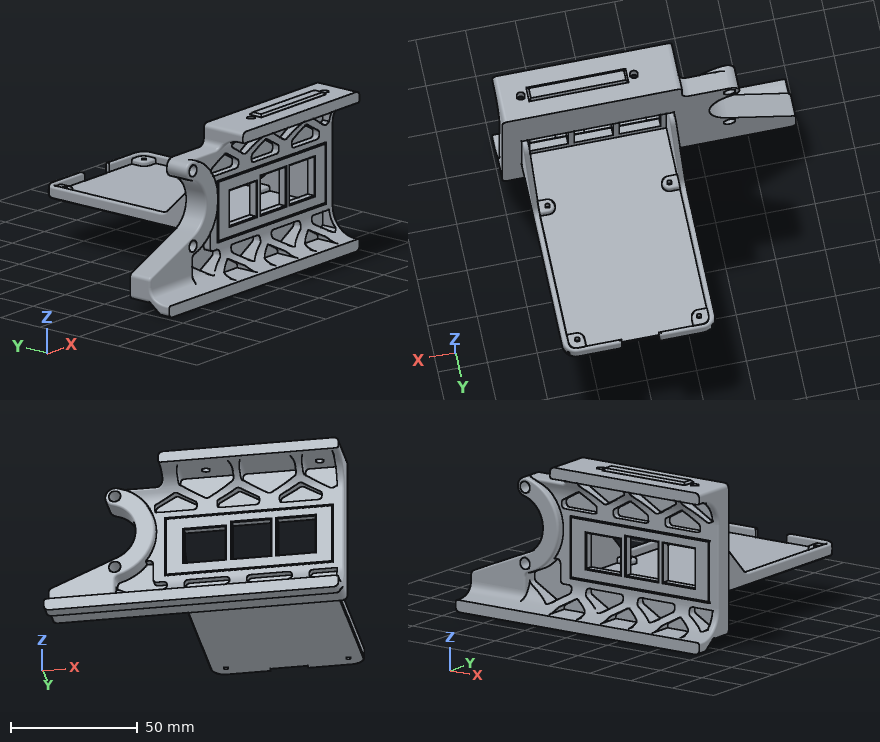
import cadquery as cq
import math

length = 118.0
depth = 20.0
top_z = 65.8
lip_z = 5.0
overhang_z = 61.1
scoop_radius = 11.0
face_y = 13.2
scoop_y = face_y - scoop_radius
lower_scoop_z = lip_z + scoop_radius
upper_scoop_z = overhang_z - scoop_radius
back_bottom_z = 3.9
lip_slope_front_y = 5.5
lip_slope_back_y = 10.7
end_radius = 2.0
front_radius = 1.0

ring_x = 22.8
ring_z = 37.1
bolt_circle_radius = 16.0
boss_radius = 4.0
ring_inner_radius = bolt_circle_radius - boss_radius
ring_outer_radius = bolt_circle_radius + boss_radius
bolt_hole_diameter = 4.7
bolt_offset_x = 3.85
bolt_x = ring_x + bolt_offset_x
bolt_rise = math.sqrt(bolt_circle_radius**2 - bolt_offset_x**2)
pad_y = 9.8
pad_foot_radius = 5.0
pad_right_x = 26.7
pad_corner_radius = 1.8
body_left_x = pad_right_x - 2 * front_radius
brace_angle = math.radians(23)

flange_left_x = 45.7
flange_fillet = 3.0
shoulder_z = ring_z + bolt_rise + boss_radius

key_x = 85.85
key_y = 10.2
key_length = 40.0
key_width = 6.0
key_height = 1.0
key_chamfer = 0.9
key_hole_spacing = 45.5
key_hole_diameter = 3.2

pocket_pitch = 25.0
pocket_count = 3
pocket_slope = math.tan(math.radians(30))
pocket_right_limit = 115.1
pocket_back_y = 16.4
foot_pocket_back_y = 12.4
pocket_corner_radius = 1.5
hanging_x = 63.0
standing_x = 50.5
upper_pocket_half_width = 11.1
upper_pocket_tip_z = 50.1
middle_pocket_half_width = 8.5
middle_pocket_base_z = 45.7
middle_pocket_tip_z = 53.8
lower_pocket_half_width = 9.0
lower_pocket_top_z = 15.0
lower_pocket_tip_z = 6.8
foot_pocket_half_width = 6.7
foot_pocket_base_z = 1.0
foot_pocket_tip_z = 10.5
ring_pocket_step_x = 41.4
ring_pocket_top_z = 24.7

tray_x = 79.6
tray_width = 61.4
tray_left_x = tray_x - tray_width / 2
tray_right_x = tray_x + tray_width / 2
tray_back_y = 104.55
tray_bottom_z = 18.2
rim_z = 23.2
floor_z = 19.7
side_wall = 2.5
back_wall = 2.2
tray_corner_radius = 5.5
rim_radius = 1.0
gusset_top_z = 42.6
gusset_foot_y = 43.0
gusset_radius = 5.0
notch_width = 15.0
notch_end_radius = 1.0
tray_chamfer = 0.4

board_hole_spacing_x = 49.0
board_hole_spacing_y = 58.0
board_hole_back_y = 98.5
board_hole_diameter = 1.8
post_diameter = 6.0
post_top_z = 21.8
post_edge_radius = 1.0

panel_x = 79.8
panel_width = 66.4
panel_thickness = 3.6
panel_back_y = face_y + panel_thickness
panel_gap = 0.5
panel_gap_depth = 0.6
panel_height = gusset_top_z - tray_bottom_z
panel_z = tray_bottom_z + panel_height / 2
window_bottom_z = 22.8
window_chamfer = 0.4
windows = [
    (62.0, 16.6, 14.5),
    (80.65, 15.6, 16.0),
    (98.6, 15.3, 16.0),
]

margin = 0.1


def block(x0, x1, y0, y1, z0, z1):
    return cq.Workplane("XY").box(x1 - x0, y1 - y0, z1 - z0, centered=False).translate((x0, y0, z0))


def extrude_back(sketch, y0, y1):
    """Extrude an XZ outline from y0 to y1."""
    return sketch.extrude(y0 - y1).translate((0, y0, 0))


def on_circle(radius, angle):
    """Point around the ring centre, the angle taken from +X."""
    return (ring_x + radius * math.cos(angle), ring_z + radius * math.sin(angle))


def scoop_point(centre_z, angle):
    """Point on a scoop in the YZ plane, the angle taken from +Y."""
    return (scoop_y + scoop_radius * math.cos(angle), centre_z + scoop_radius * math.sin(angle))


def underside():
    """Start of a shell profile: from the lip front along the underside and up the back."""
    return (
        cq.Workplane("YZ")
        .moveTo(0, lip_z)
        .lineTo(0, 0)
        .lineTo(lip_slope_front_y, 0)
        .lineTo(lip_slope_back_y, back_bottom_z)
        .lineTo(depth, back_bottom_z)
        .lineTo(depth, top_z)
    )


def round_bottom(solid, end):
    """Round the underside edges at one end of the shell."""
    low_edges = cq.selectors.BoxSelector(
        (-margin, margin, -margin), (length + margin, depth - margin, back_bottom_z + margin)
    )
    return solid.faces(end).edges(low_edges).fillet(end_radius)


def make_body():
    """Main part of the shell, right of the bolt circle."""
    profile = (
        underside()
        .lineTo(0, top_z)
        .lineTo(0, overhang_z)
        .lineTo(scoop_y, overhang_z)
        .threePointArc(scoop_point(upper_scoop_z, math.radians(45)), (face_y, upper_scoop_z))
        .lineTo(face_y, lower_scoop_z)
        .threePointArc(scoop_point(lower_scoop_z, math.radians(-45)), (scoop_y, lip_z))
        .close()
        .extrude(length)
    )
    profile = round_bottom(profile, ">X")
    outline = (
        cq.Workplane("XZ")
        .moveTo(body_left_x, 0)
        .lineTo(body_left_x, lower_scoop_z)
        .lineTo(bolt_x, lower_scoop_z)
        .lineTo(bolt_x, ring_z - bolt_rise)
        .threePointArc(on_circle(bolt_circle_radius, 0), (bolt_x, ring_z + bolt_rise))
        .lineTo(bolt_x, shoulder_z)
        .lineTo(flange_left_x - flange_fillet, shoulder_z)
        .radiusArc((flange_left_x, shoulder_z + flange_fillet), -flange_fillet)
        .lineTo(flange_left_x, top_z - end_radius)
        .radiusArc((flange_left_x + end_radius, top_z), end_radius)
        .lineTo(length - end_radius, top_z)
        .radiusArc((length, top_z - end_radius), end_radius)
        .lineTo(length, 0)
        .close()
    )
    body = profile.intersect(extrude_back(outline, 0, depth))
    shoulder_edge = cq.selectors.BoxSelector(
        (bolt_x + 1, 1, shoulder_z - margin),
        (flange_left_x + margin, face_y - margin, overhang_z + margin),
    )
    right_edge = cq.selectors.BoxSelector(
        (length - margin, margin, lip_z - margin),
        (length + margin, face_y + margin, overhang_z + margin),
    )
    return body.edges(shoulder_edge).fillet(front_radius).edges(right_edge).fillet(front_radius)


def make_pad():
    """Ring, brace and left end of the lip, standing proud of the main face."""
    blend_y = pad_y - pad_foot_radius
    blend_reach = scoop_radius - pad_foot_radius
    blend_angle = -math.acos((blend_y - scoop_y) / blend_reach)
    blend_z = lower_scoop_z + blend_reach * math.sin(blend_angle)
    blend_mid = (
        blend_y + pad_foot_radius * math.cos(blend_angle / 2),
        blend_z + pad_foot_radius * math.sin(blend_angle / 2),
    )
    scoop_mid = scoop_point(lower_scoop_z, (blend_angle - math.pi / 2) / 2)
    profile = (
        underside()
        .lineTo(pad_y, top_z)
        .lineTo(pad_y, blend_z)
        .threePointArc(blend_mid, scoop_point(lower_scoop_z, blend_angle))
        .threePointArc(scoop_mid, (scoop_y, lip_z))
        .close()
        .extrude(length)
    )
    profile = round_bottom(profile, "<X")

    brace_top = on_circle(ring_inner_radius, brace_angle - math.pi / 2)
    brace_foot_z = brace_top[1] - brace_top[0] * math.tan(brace_angle)
    boss_angle = math.atan2(bolt_rise, bolt_offset_x)
    boss_far_side = (
        bolt_x - boss_radius * math.sin(boss_angle),
        ring_z + bolt_rise + boss_radius * math.cos(boss_angle),
    )
    corner_reach = ring_outer_radius + pad_corner_radius
    corner_angle = -math.acos((pad_right_x + pad_corner_radius - ring_x) / corner_reach)
    corner_z = on_circle(corner_reach, corner_angle)[1]
    outline = (
        cq.Workplane("XZ")
        .lineTo(0, brace_foot_z)
        .lineTo(*brace_top)
        .threePointArc(on_circle(ring_inner_radius, 0), on_circle(ring_inner_radius, boss_angle))
        .threePointArc(boss_far_side, on_circle(ring_outer_radius, boss_angle))
        .threePointArc(on_circle(ring_outer_radius, 0), on_circle(ring_outer_radius, corner_angle))
        .radiusArc((pad_right_x, corner_z), -pad_corner_radius)
        .lineTo(pad_right_x, 0)
        .close()
    )
    prism = extrude_back(outline, 0, depth)
    brace_corner = cq.selectors.BoxSelector(
        (-margin, -margin, brace_foot_z - margin), (margin, depth + margin, brace_foot_z + margin)
    )
    prism = prism.edges("|Y").edges(brace_corner).fillet(end_radius)
    pad = profile.intersect(prism)
    front_face = cq.selectors.BoxSelector((0, pad_y - margin, 0), (length, pad_y + margin, top_z))
    return pad.faces(front_face).edges("not |X").fillet(front_radius)


def pocket_prism(points, back_y):
    prism = extrude_back(cq.Workplane("XZ").polyline(points).close(), 0, back_y)
    return prism.edges("|Y").fillet(pocket_corner_radius)


def arrow(centre_x, base_z, half_width, tip_z):
    """Pocket outline: a flat base, short upright sides and a tip with 30 degree flanks."""
    side_z = tip_z + math.copysign(half_width * pocket_slope, base_z - tip_z)
    return [
        (centre_x - half_width, base_z),
        (centre_x + half_width, base_z),
        (centre_x + half_width, side_z),
        (centre_x, tip_z),
        (centre_x - half_width, side_z),
    ]


def ring_pocket_outline():
    """Outline of the lower pocket beside the ring, which reaches up along the ring's edge."""
    tip_x = hanging_x - pocket_pitch
    right_x = tip_x + lower_pocket_half_width
    return [
        (ring_pocket_step_x, ring_pocket_top_z),
        (pad_right_x, ring_pocket_top_z),
        (pad_right_x, lower_pocket_tip_z + (tip_x - pad_right_x) * pocket_slope),
        (tip_x, lower_pocket_tip_z),
        (right_x, lower_pocket_tip_z + lower_pocket_half_width * pocket_slope),
        (right_x, lower_pocket_top_z),
        (ring_pocket_step_x, lower_pocket_top_z),
    ]


def cut_pockets(body):
    keep = block(0, pocket_right_limit, 0, depth, lip_z, overhang_z)
    outlines = [(ring_pocket_outline(), pocket_back_y)]
    for i in range(pocket_count):
        hanging = hanging_x + i * pocket_pitch
        standing = standing_x + i * pocket_pitch
        upper = arrow(hanging, overhang_z, upper_pocket_half_width, upper_pocket_tip_z)
        middle = arrow(standing, middle_pocket_base_z, middle_pocket_half_width, middle_pocket_tip_z)
        lower = arrow(hanging, lower_pocket_top_z, lower_pocket_half_width, lower_pocket_tip_z)
        foot = arrow(standing, foot_pocket_base_z, foot_pocket_half_width, foot_pocket_tip_z)
        outlines += [(points, pocket_back_y) for points in (upper, middle, lower)]
        outlines.append((foot, foot_pocket_back_y))
    for points, back_y in outlines:
        body = body.cut(pocket_prism(points, back_y).intersect(keep))
    return body


def add_key(shell):
    """Raised bar on the flange and the two holes beside it."""
    key = (
        cq.Workplane("XY")
        .box(key_length, key_width, key_height, centered=(True, True, False))
        .faces(">Z")
        .edges()
        .chamfer(key_chamfer)
        .translate((key_x, key_y, top_z))
    )
    holes = (
        cq.Workplane("XY", origin=(key_x, key_y, overhang_z))
        .rarray(key_hole_spacing, 1, 2, 1)
        .circle(key_hole_diameter / 2)
        .extrude(top_z - overhang_z)
    )
    return shell.union(key).cut(holes)


def panel_rectangle(extra, y0, y1):
    """Block with the panel's outline, widened by `extra` on every side."""
    half_width = panel_width / 2 + extra
    half_height = panel_height / 2 + extra
    return block(
        panel_x - half_width, panel_x + half_width, y0, y1, panel_z - half_height, panel_z + half_height
    )


def make_shell():
    shell = cut_pockets(make_body()).union(make_pad())
    bolt_points = [(bolt_x, ring_z + bolt_rise), (bolt_x, ring_z - bolt_rise)]
    bolt_holes = cq.Workplane("XZ").pushPoints(bolt_points).circle(bolt_hole_diameter / 2)
    shell = shell.cut(extrude_back(bolt_holes, 0, depth))
    shell = add_key(shell)
    shell = shell.cut(panel_rectangle(panel_gap, 0, face_y + panel_gap_depth))
    shell = shell.cut(panel_rectangle(0, 0, panel_back_y))
    return shell.cut(block(tray_left_x, tray_right_x, 0, depth, tray_bottom_z, gusset_top_z))


def tray_prism(x0, x1):
    """Side outline of the tray with its gusset, extruded from x0 to x1."""
    rise = gusset_top_z - rim_z
    sides = (
        cq.Workplane("YZ")
        .moveTo(panel_back_y, tray_bottom_z)
        .lineTo(tray_back_y, tray_bottom_z)
        .lineTo(tray_back_y, rim_z)
        .lineTo(gusset_foot_y, rim_z)
        .lineTo(gusset_foot_y - rise, gusset_top_z)
        .lineTo(panel_back_y, gusset_top_z)
        .close()
        .extrude(x1 - x0)
        .translate((x0, 0, 0))
    )
    bends = cq.selectors.BoxSelector(
        (x0 - margin, depth, rim_z - margin), (x1 + margin, gusset_foot_y + margin, gusset_top_z + margin)
    )
    return sides.edges("|X").edges(bends).fillet(gusset_radius)


def make_tray_frame():
    """Floor, walls and gussets of the tray, open at the notch in the back wall."""
    frame = tray_prism(tray_left_x, tray_right_x).edges("|Z and >Y").fillet(tray_corner_radius)
    frame = frame.faces("<Z").edges("not <Y").chamfer(tray_chamfer)
    inside = block(
        tray_left_x + side_wall,
        tray_right_x - side_wall,
        panel_back_y,
        tray_back_y - back_wall,
        floor_z,
        gusset_top_z,
    )
    inside = inside.edges("|Z and >Y").fillet(tray_corner_radius - side_wall)
    notch = block(
        tray_x - notch_width / 2,
        tray_x + notch_width / 2,
        tray_back_y - back_wall,
        tray_back_y,
        tray_bottom_z,
        gusset_top_z,
    )
    frame = frame.cut(inside).cut(notch)
    notch_ends = cq.selectors.BoxSelector(
        (tray_x - notch_width, tray_back_y - margin, tray_bottom_z),
        (tray_x + notch_width, tray_back_y + margin, rim_z),
    )
    frame = frame.edges("|Z").edges(notch_ends).fillet(notch_end_radius)
    rim = cq.selectors.BoxSelector(
        (tray_left_x - margin, panel_back_y + margin, rim_z - margin),
        (tray_right_x + margin, tray_back_y + margin, gusset_top_z + margin),
    )
    return frame.edges(rim).fillet(rim_radius)


def make_posts():
    """Board posts: round around the hole and run into the wall, or into the corner behind."""
    radius = post_diameter / 2
    height = post_top_z - floor_z
    front_hole_y = board_hole_back_y - board_hole_spacing_y
    posts = []
    for side in (-1, 1):
        hole_x = tray_x + side * board_hole_spacing_x / 2
        wall_x = tray_x + side * (tray_width - side_wall) / 2
        x0, x1 = sorted((hole_x, wall_x))
        inner_x0, inner_x1 = sorted((hole_x - side * radius, wall_x))
        for hole_y in (front_hole_y, board_hole_back_y):
            post = cq.Workplane("XY", origin=(hole_x, hole_y, floor_z)).circle(radius).extrude(height)
            post = post.union(block(x0, x1, hole_y - radius, hole_y + radius, floor_z, post_top_z))
            if hole_y == board_hole_back_y:
                behind_y = tray_back_y - back_wall / 2
                behind = block(inner_x0, inner_x1, hole_y, behind_y, floor_z, post_top_z)
                post = post.union(behind.edges("|Z and >Y").fillet(post_edge_radius))
            posts.append(post.faces(">Z").edges().fillet(post_edge_radius))
    return posts


def make_panel():
    """Front panel of the tray with its chamfered windows."""
    panel = panel_rectangle(0, face_y, panel_back_y)
    for centre_x, width, height in windows:
        x0 = centre_x - width / 2
        x1 = centre_x + width / 2
        window_top_z = window_bottom_z + height
        panel = panel.cut(block(x0, x1, face_y, panel_back_y, window_bottom_z, window_top_z))
        rim = cq.selectors.BoxSelector(
            (x0 - margin, face_y - margin, window_bottom_z - margin),
            (x1 + margin, face_y + margin, window_top_z + margin),
        )
        panel = panel.faces("<Y").edges(rim).chamfer(window_chamfer)
    return panel


def make_tray():
    tray = make_tray_frame()
    for post in make_posts():
        tray = tray.union(post)
    holes = (
        cq.Workplane("XY", origin=(tray_x, board_hole_back_y - board_hole_spacing_y / 2, tray_bottom_z))
        .rarray(board_hole_spacing_x, board_hole_spacing_y, 2, 2)
        .circle(board_hole_diameter / 2)
        .extrude(post_top_z - tray_bottom_z)
    )
    return tray.union(make_panel()).cut(holes)


shell = make_shell()
tray = make_tray()
result = cq.Compound.makeCompound([shell.val(), tray.val()])